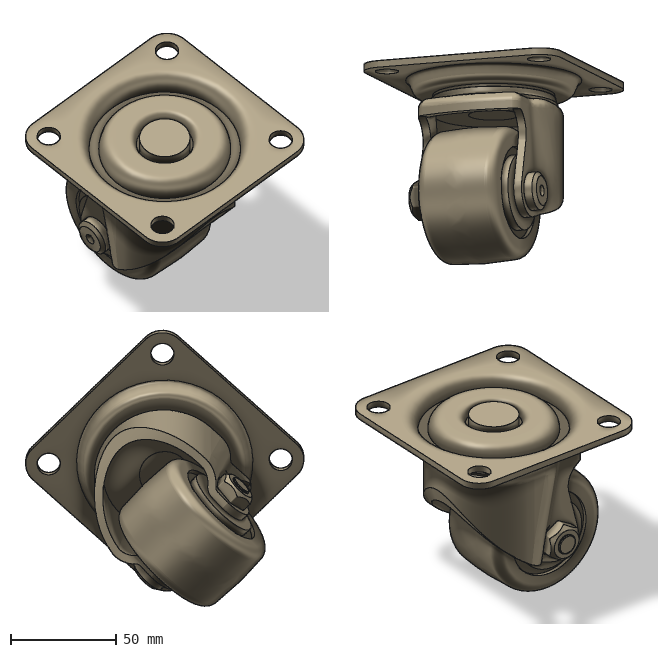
import cadquery as cq
import math


plate_side = 100
plate_thickness = 3.25
corner_radius = 11
bolt_hole_spacing = plate_side - 2 * corner_radius
bolt_hole_diameter = 11

dish_floor_z = -8.0
roll_radius = -dish_floor_z
dish_floor_radius = 36
dish_top_radius = dish_floor_radius + roll_radius
dome_radius = 31.4
dome_flat_radius = dome_radius - roll_radius
dome_hole_radius = 13.5
dome_lip_radius = 4.8
dome_cavity_radius = 28.3

dish_bottom_z = -10.6
dish_cone_top = (40.5, -4.4)
dish_cone_bottom = (38.8, -7.8)
dish_blend_top_radius = 41.9
dish_bottom_radius = 35.3
collar_radius = 29.2
collar_bottom_z = -12.0

kingpin_radius = 12.0

sheet = 4.0
neck_top_radius = 29.5
neck_mid = (29.9, -14.2)
neck_flare = 0.7
neck_flare_bottom_z = -15.4
neck_bottom_z = -17.0
crown_top_z = -16.0
crown_fillet = 5.0
skirt_bottom_z = -24.8
front_x = -36.7
front_edge_x = -32.9
front_corner_radius = 4.4
leg_half_width = 26.4
back_half_width = 32.85
back_centre_x = 0.8
bulge_start_x = -19.6
bulge_end_x = -5.7
bulge_inner_bend = 3.4
crown_line_z = crown_top_z - crown_fillet
spotface_radius = 9.9
bulge_lean = 0.195

waist_start = (-31.3, skirt_bottom_z)
waist_mid = (-25.9, -30.0)
waist_end = (-24.5, -38.5)
eye_radius = 12.2
eye_start_angle = math.radians(167)
eye_end_angle = math.radians(-83)
back_mid = (13.8, -58.6)
back_top_z = -29.9
fork_depth = 70.0

total_height = 95.0
wheel_radius = 32.5
axle_x = -18.0
axle_z = wheel_radius - total_height
tyre_half_width = 20.0
tyre_edge_radius = 31.8
tyre_edge_y = 15.3
tyre_face_radius = 26.7
hub_radius = 22.0
hub_half_width = 18.0
boss_radius = 18.0
boss_half_width = 21.8

axle_radius = 5.0
head_radius = 9.1
head_face_radius = 7.1
head_straight = 4.1
head_height = 5.6
centre_hole_radius = 2.6
axle_end_y = 34.2
axle_end_chamfer = 0.45

nut_across_flats = 17.0
nut_edge_radius = 1.0
nut_height = 6.9
nut_cone_height = 2.3
nut_face_radius = 7.4
nut_rim_radius = nut_face_radius + nut_cone_height

diagonal = math.sqrt(0.5)


def about_axle(profile):
    """Turn a profile of (radius, Y) points round the wheel axle."""
    return profile.close().revolve(360, (0, 0, 0), (0, 1, 0)).translate((axle_x, 0, axle_z))


def make_plate():
    slab = (
        cq.Workplane("XY")
        .rect(plate_side, plate_side)
        .extrude(-plate_thickness)
        .edges("|Z")
        .fillet(corner_radius)
        .faces(">Z")
        .workplane()
        .rect(bolt_hole_spacing, bolt_hole_spacing, forConstruction=True)
        .vertices()
        .hole(bolt_hole_diameter)
    )
    opening = cq.Workplane("XY").circle(dish_top_radius).extrude(-plate_thickness)
    roll_mid = roll_radius * diagonal
    lip_mid = dome_lip_radius * (1 - diagonal)
    dish = (
        cq.Workplane("XZ")
        .moveTo(dish_top_radius, 0)
        .threePointArc(
            (dish_top_radius - roll_mid, dish_floor_z + roll_mid),
            (dish_floor_radius, dish_floor_z),
        )
        .lineTo(dome_radius, dish_floor_z)
        .threePointArc(
            (dome_flat_radius + roll_mid, dish_floor_z + roll_mid),
            (dome_flat_radius, 0),
        )
        .lineTo(dome_hole_radius + dome_lip_radius, 0)
        .threePointArc(
            (dome_hole_radius + lip_mid, -lip_mid),
            (dome_hole_radius, -dome_lip_radius),
        )
        .lineTo(dome_cavity_radius, -dome_lip_radius)
        .lineTo(dome_cavity_radius, collar_bottom_z)
        .lineTo(collar_radius, collar_bottom_z)
        .lineTo(collar_radius, dish_bottom_z)
        .lineTo(dish_bottom_radius, dish_bottom_z)
        .tangentArcPoint(dish_cone_bottom, relative=False)
        .lineTo(*dish_cone_top)
        .tangentArcPoint((dish_blend_top_radius, -plate_thickness), relative=False)
        .lineTo(dish_top_radius, -plate_thickness)
        .close()
        .revolve(360, (0, 0, 0), (0, 1, 0))
    )
    return slab.cut(opening).union(dish)


def make_kingpin():
    return cq.Workplane("XY").circle(kingpin_radius).extrude(crown_top_z - sheet)


def leg_slab(inset):
    """Block between the leg faces, closed by the bowed front; `inset` shrinks it by a wall."""
    half_width = leg_half_width - inset
    return (
        cq.Workplane("XY")
        .moveTo(back_centre_x, -half_width)
        .lineTo(front_edge_x + inset, -half_width)
        .threePointArc((front_x + inset, 0), (front_edge_x + inset, half_width))
        .lineTo(back_centre_x, half_width)
        .close()
        .extrude(-fork_depth)
        .edges("|Z")
        .edges("<X")
        .fillet(front_corner_radius - inset)
    )


def bulge_prism(inset):
    """Leaning prism whose front edge is the S-bend from the leg faces out to the rear housing."""
    low = leg_half_width - inset
    high = back_half_width - inset
    run = bulge_end_x - bulge_start_x
    rise = high - low
    total_bend = (run**2 + rise**2) / (2 * rise)
    concave = bulge_inner_bend + inset
    bend_angle = 2 * math.atan(rise / run)
    middle = (bulge_start_x + concave * math.sin(bend_angle), low + concave * (1 - math.cos(bend_angle)))
    convex = total_bend - concave
    half = bend_angle / 2
    low_mid = (bulge_start_x + concave * math.sin(half), low + concave * (1 - math.cos(half)))
    high_mid = (bulge_end_x - convex * math.sin(half), high - convex * (1 - math.cos(half)))
    far_x = 2 * back_half_width

    def mirrored(point):
        return (point[0], -point[1])

    outline = (
        cq.Workplane("XY")
        .moveTo(bulge_start_x, low)
        .threePointArc(low_mid, middle)
        .threePointArc(high_mid, (bulge_end_x, high))
        .lineTo(far_x, high)
        .lineTo(far_x, -high)
        .lineTo(bulge_end_x, -high)
        .threePointArc(mirrored(high_mid), mirrored(middle))
        .threePointArc(mirrored(low_mid), (bulge_start_x, -low))
        .close()
        .val()
    )
    lean = cq.Vector(bulge_lean * fork_depth, 0, -fork_depth)
    prism = cq.Solid.extrudeLinear(outline, [], lean)
    return cq.Workplane(prism)


def fork_block(inset):
    """Outside (inset 0) or inside (inset = sheet) of the fork, before the side outline is cut."""
    half_width = back_half_width - inset
    rear = (
        cq.Workplane("XY")
        .moveTo(front_x, -half_width)
        .lineTo(back_centre_x, -half_width)
        .threePointArc((back_centre_x + half_width, 0), (back_centre_x, half_width))
        .lineTo(front_x, half_width)
        .close()
        .extrude(-fork_depth)
    )
    block_top_z = crown_top_z - inset
    lean_start = bulge_lean * (crown_line_z - block_top_z)
    bulge = bulge_prism(inset).translate((lean_start, 0, 0))
    block = leg_slab(inset).union(rear.intersect(bulge))
    return block.translate((0, 0, block_top_z))


def side_outline():
    """Fork seen along Y: skirt, waist above the wheel, eye round the axle and the swept back."""
    eye_start = (
        axle_x + eye_radius * math.cos(eye_start_angle),
        axle_z + eye_radius * math.sin(eye_start_angle),
    )
    eye_mid = (axle_x - eye_radius * diagonal, axle_z - eye_radius * diagonal)
    eye_end = (
        axle_x + eye_radius * math.cos(eye_end_angle),
        axle_z + eye_radius * math.sin(eye_end_angle),
    )
    back_top = (back_centre_x + back_half_width, back_top_z)
    return (
        cq.Workplane("XZ")
        .moveTo(front_x, 0)
        .lineTo(front_x, skirt_bottom_z)
        .lineTo(*waist_start)
        .threePointArc(waist_mid, waist_end)
        .lineTo(*eye_start)
        .threePointArc(eye_mid, eye_end)
        .threePointArc(back_mid, back_top)
        .lineTo(back_top[0], 0)
        .close()
        .extrude(back_half_width, both=True)
    )


def make_fork():
    neck = (
        cq.Workplane("XZ")
        .moveTo(0, collar_bottom_z)
        .lineTo(neck_top_radius, collar_bottom_z)
        .lineTo(*neck_mid)
        .tangentArcPoint((neck_mid[0] + neck_flare, neck_flare_bottom_z), relative=False)
        .lineTo(neck_mid[0] + neck_flare, neck_bottom_z)
        .lineTo(0, neck_bottom_z)
        .close()
        .revolve(360, (0, 0, 0), (0, 1, 0))
    )
    outside = fork_block(0).faces(">Z").edges().fillet(crown_fillet)
    axle_hole = (
        cq.Workplane("XZ")
        .center(axle_x, axle_z)
        .circle(axle_radius)
        .extrude(back_half_width, both=True)
    )
    spotfaces = (
        cq.Workplane("XZ")
        .center(axle_x, axle_z)
        .circle(spotface_radius)
        .extrude(back_half_width, both=True)
        .cut(cq.Workplane("XY").box(2 * plate_side, 2 * leg_half_width, 2 * plate_side))
    )
    wheel_bay = (
        cq.Workplane("XY", origin=(0, 0, skirt_bottom_z))
        .center(front_x / 2, 0)
        .rect(-front_x, 2 * (leg_half_width - sheet))
        .extrude(-fork_depth)
    )
    return (
        outside.intersect(side_outline())
        .union(neck)
        .cut(fork_block(sheet))
        .cut(wheel_bay)
        .cut(spotfaces)
        .cut(make_kingpin())
        .cut(axle_hole)
    )


def make_tyre():
    shoulder_mid = (
        tyre_face_radius + (tyre_edge_radius - tyre_face_radius) * diagonal,
        tyre_edge_y + (tyre_half_width - tyre_edge_y) * diagonal,
    )
    profile = (
        cq.Workplane("XY")
        .moveTo(hub_radius, -tyre_half_width)
        .lineTo(tyre_face_radius, -tyre_half_width)
        .threePointArc((shoulder_mid[0], -shoulder_mid[1]), (tyre_edge_radius, -tyre_edge_y))
        .threePointArc((wheel_radius, 0), (tyre_edge_radius, tyre_edge_y))
        .threePointArc(shoulder_mid, (tyre_face_radius, tyre_half_width))
        .lineTo(hub_radius, tyre_half_width)
    )
    return about_axle(profile)


def make_hub():
    profile = (
        cq.Workplane("XY")
        .moveTo(axle_radius, -boss_half_width)
        .lineTo(boss_radius, -boss_half_width)
        .lineTo(boss_radius, -hub_half_width)
        .lineTo(hub_radius, -hub_half_width)
        .lineTo(hub_radius, hub_half_width)
        .lineTo(boss_radius, hub_half_width)
        .lineTo(boss_radius, boss_half_width)
        .lineTo(axle_radius, boss_half_width)
    )
    return about_axle(profile)


def make_axle_bolt():
    head_y = -leg_half_width
    face_y = head_y - head_height
    profile = (
        cq.Workplane("XY")
        .moveTo(0, face_y + centre_hole_radius)
        .lineTo(centre_hole_radius, face_y)
        .lineTo(head_face_radius, face_y)
        .lineTo(head_radius, head_y - head_straight)
        .lineTo(head_radius, head_y)
        .lineTo(axle_radius, head_y)
        .lineTo(axle_radius, axle_end_y - axle_end_chamfer)
        .lineTo(axle_radius - axle_end_chamfer, axle_end_y)
        .lineTo(0, axle_end_y)
    )
    return about_axle(profile)


def make_nut():
    seat_y = leg_half_width
    face_y = seat_y + nut_height
    hexagon = (
        cq.Workplane("XZ", origin=(axle_x, seat_y, axle_z))
        .polygon(6, nut_across_flats, circumscribed=True)
        .extrude(-nut_height)
        .edges("|Y")
        .fillet(nut_edge_radius)
    )
    envelope = about_axle(
        cq.Workplane("XY")
        .moveTo(axle_radius, seat_y)
        .lineTo(nut_rim_radius, seat_y)
        .lineTo(nut_rim_radius, face_y - nut_cone_height)
        .lineTo(nut_face_radius, face_y)
        .lineTo(axle_radius, face_y)
    )
    return hexagon.intersect(envelope)


plate = make_plate()
kingpin = make_kingpin()
fork = make_fork()
tyre = make_tyre()
hub = make_hub()
axle_bolt = make_axle_bolt()
nut = make_nut()

result = cq.Compound.makeCompound(
    [
        plate.val(),
        kingpin.val(),
        fork.val(),
        tyre.val(),
        hub.val(),
        axle_bolt.val(),
        nut.val(),
    ]
)